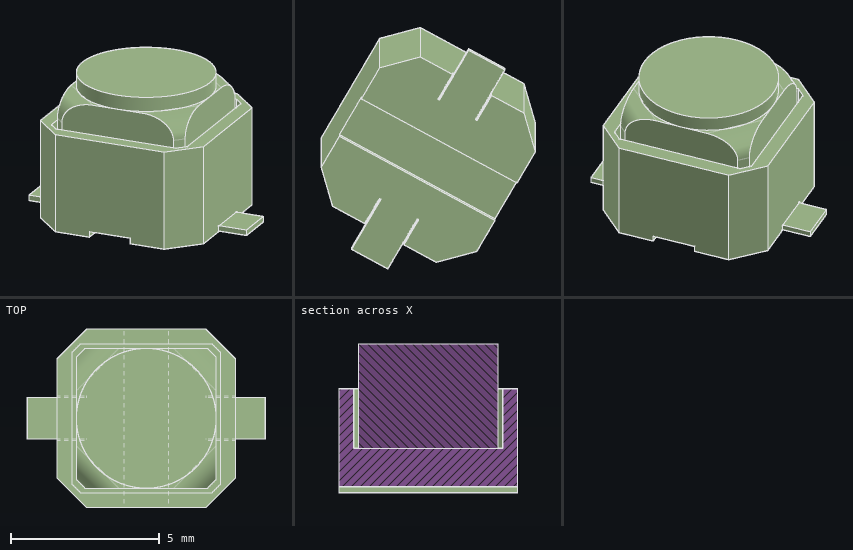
import cadquery as cq

overall_length = 8.0
overall_height = 5.0

housing_width = 6.0
housing_chamfer = 1.0
channel_width = 1.5
channel_height = 0.2

terminal_width = 1.4
terminal_exposed = (overall_length - housing_width) / 2
terminal_seated = 1.0

recess_width = 5.0
recess_depth = 2.0
button_gap = 0.15
corner_chamfer = 0.3
corner_round = 0.8
block_exposed = 1.0
cap_height = 0.5

block_width = recess_width - 2 * button_gap
block_top = overall_height - cap_height
rim_height = block_top - block_exposed
recess_floor = rim_height - recess_depth


def chamfered_square(width, chamfer, bottom, top):
    """Square prism with its four upright edges chamfered."""
    return (
        cq.Workplane("XY")
        .workplane(offset=bottom)
        .rect(width, width)
        .extrude(top - bottom)
        .edges("|Z")
        .chamfer(chamfer)
    )


def bottom_box(length, width, center_x):
    """Box as tall as the bottom channel, standing on the bottom plane."""
    return cq.Workplane("XY").center(center_x, 0).rect(length, width).extrude(channel_height)


def make_housing():
    """Octagonal housing with a button recess, bottom channel and two terminals."""
    body = chamfered_square(housing_width, housing_chamfer, 0, rim_height)
    body = body.cut(chamfered_square(recess_width, corner_chamfer, recess_floor, rim_height))

    body = body.cut(bottom_box(channel_width, housing_width, 0))

    terminal_length = terminal_exposed + terminal_seated
    for side in (-1, 1):
        pocket_x = side * (housing_width - terminal_seated) / 2
        terminal_x = side * (overall_length - terminal_length) / 2
        body = body.cut(bottom_box(terminal_seated, channel_width, pocket_x))
        body = body.union(bottom_box(terminal_length, terminal_width, terminal_x))
    return body


def make_button():
    """Chamfered block with rounded upper corners, carrying a round cap."""
    block = chamfered_square(block_width, corner_chamfer, recess_floor, block_top)

    corner_edges = block.faces(">Z").edges("not(|X or |Y)")
    block = corner_edges.fillet(corner_round)

    cap = cq.Workplane("XY").workplane(offset=block_top).circle(block_width / 2).extrude(cap_height)
    return block.union(cap)


housing = make_housing()
button = make_button()

result = cq.Compound.makeCompound([housing.val(), button.val()])